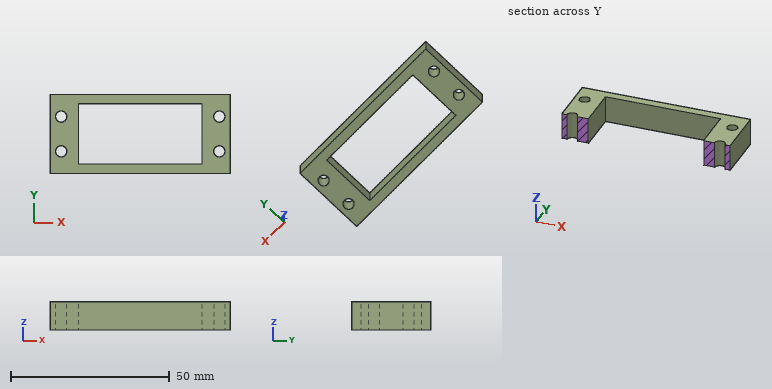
import cadquery as cq

length = 57.0
width = 25.0
height = 9.0

window_length = 39.0
window_width = 19.0

hole_diameter = 3.5
hole_spacing_x = 50.0
hole_spacing_y = 11.0


def make_block():
    return cq.Workplane("XY").box(length, width, height)


def cut_window(body):
    return body.faces(">Z").workplane().rect(window_length, window_width).cutThruAll()


def drill_mounting_holes(body):
    return (
        body.faces(">Z")
        .workplane(origin=(0, 0, 0))
        .rect(hole_spacing_x, hole_spacing_y, forConstruction=True)
        .vertices()
        .hole(hole_diameter)
    )


result = drill_mounting_holes(cut_window(make_block()))